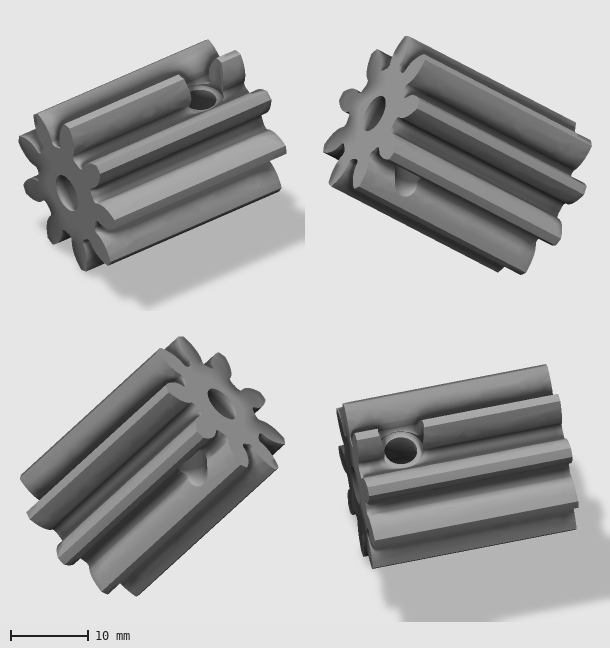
import cadquery as cq
import math

tooth_count = 9
length = 27.0
tip_radius = 22.0 / 2
root_radius = 6.48
bore_diameter = 5.0

tip_half_width = 0.6
shoulder_half_width = 1.22
shoulder_height = 9.94
belly_half_width = 1.6
belly_height = 8.65
neck_half_width = 1.35
root_fillet = 0.73

hole_diameter = 4.2
counterbore_diameter = 6.0
counterbore_floor = 5.83
hole_from_end = 6.0
hole_y = length / 2 - hole_from_end

pitch_angle = math.radians(360 / tooth_count)


def turned(point, angle):
    """Rotate a point clockwise about the gear axis."""
    x, z = point
    cosine = math.cos(angle)
    sine = math.sin(angle)
    return (x * cosine + z * sine, z * cosine - x * sine)


fillet_x = neck_half_width + root_fillet
fillet_z = math.sqrt((root_radius + root_fillet) ** 2 - fillet_x**2)
fillet_angle = math.atan2(fillet_x, fillet_z)
neck_end = (neck_half_width, fillet_z)
root_start = turned((0, root_radius), fillet_angle)
fillet_mid_angle = (math.pi / 2 + fillet_angle) / 2
fillet_mid = (
    fillet_x - root_fillet * math.sin(fillet_mid_angle),
    fillet_z - root_fillet * math.cos(fillet_mid_angle),
)
tip_corner = (tip_half_width, math.sqrt(tip_radius**2 - tip_half_width**2))
shoulder = (shoulder_half_width, shoulder_height)
belly = (belly_half_width, belly_height)


def mirrored(point):
    return (-point[0], point[1])


def add_tooth(outline, angle):
    """Draw one tooth and the root that follows it, starting at its left tip corner."""

    def place(*points):
        return [turned(point, angle) for point in points]

    next_tooth = angle + pitch_angle
    valley = turned((0, root_radius), angle + pitch_angle / 2)
    outline = outline.threePointArc(*place((0, tip_radius), tip_corner))
    outline = outline.spline(place(shoulder, belly, neck_end), includeCurrent=True)
    outline = outline.threePointArc(*place(fillet_mid, root_start))
    outline = outline.threePointArc(valley, turned(mirrored(root_start), next_tooth))
    outline = outline.threePointArc(
        turned(mirrored(fillet_mid), next_tooth),
        turned(mirrored(neck_end), next_tooth),
    )
    rising_flank = [turned(mirrored(point), next_tooth) for point in (belly, shoulder, tip_corner)]
    return outline.spline(rising_flank, includeCurrent=True)


def make_gear():
    outline = cq.Workplane("XZ", origin=(0, length / 2, 0)).moveTo(*mirrored(tip_corner))
    for index in range(tooth_count):
        outline = add_tooth(outline, index * pitch_angle)
    gear = outline.close().extrude(length)
    bore = cq.Workplane("XZ", origin=(0, length / 2, 0)).circle(bore_diameter / 2).extrude(length)
    return gear.cut(bore)


def make_screw_hole():
    hole = (
        cq.Workplane("XY")
        .center(0, hole_y)
        .circle(hole_diameter / 2)
        .extrude(tip_radius, both=True)
    )
    counterbore = (
        cq.Workplane("XY", origin=(0, hole_y, counterbore_floor))
        .circle(counterbore_diameter / 2)
        .extrude(tip_radius - counterbore_floor)
    )
    return hole.union(counterbore)


result = make_gear().cut(make_screw_hole())